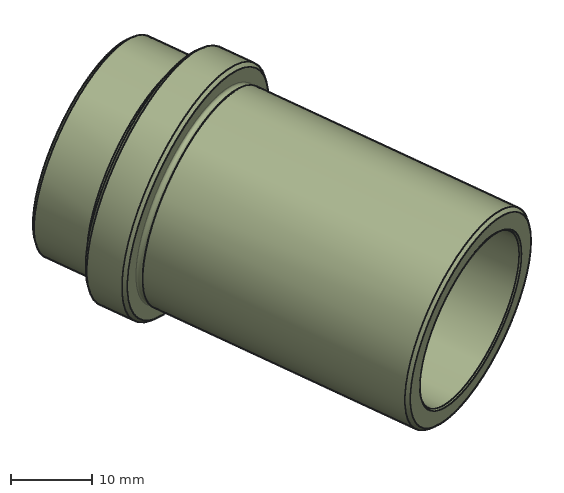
import cadquery as cq

length = 54.0
bore_diameter = 24.0
sleeve_diameter = 30.0
collar_diameter = 35.0
collar_start = 9.0
collar_width = 6.0
groove_width = 0.95
groove_depth = groove_width / 2
edge_chamfer = 0.5
bore_chamfer = 0.2

collar_end = collar_start + collar_width


def cylinder(diameter, start, end):
    """Solid cylinder on the X axis between two stations."""
    return cq.Workplane("YZ", origin=(start, 0, 0)).circle(diameter / 2).extrude(end - start)


def relief_groove(start):
    """Ring beside the collar whose floor is a half circle across its width."""
    end = start + groove_width
    middle = start + groove_width / 2
    sleeve_radius = sleeve_diameter / 2
    outer_radius = collar_diameter / 2
    return (
        cq.Workplane("XY")
        .moveTo(start, outer_radius)
        .lineTo(start, sleeve_radius)
        .threePointArc((middle, sleeve_radius - groove_depth), (end, sleeve_radius))
        .lineTo(end, outer_radius)
        .close()
        .revolve(360, (0, 0, 0), (1, 0, 0))
    )


sleeve = cylinder(sleeve_diameter, 0, length).edges().chamfer(edge_chamfer)
collar = cylinder(collar_diameter, collar_start, collar_end).edges().chamfer(edge_chamfer)
body = sleeve.union(collar)

for groove_start in (collar_start - groove_width, collar_end):
    body = body.cut(relief_groove(groove_start))

body = body.cut(cylinder(bore_diameter, 0, length))
bore_rims = cq.selectors.RadiusNthSelector(0)
result = body.faces("<X or >X").edges(bore_rims).chamfer(bore_chamfer)